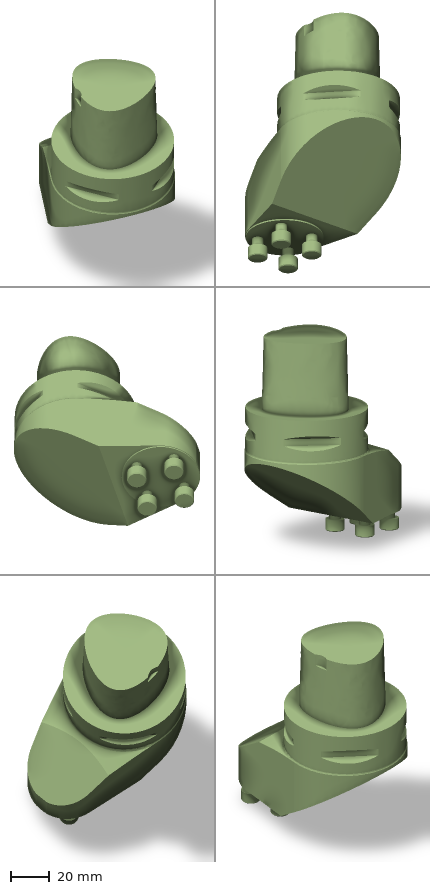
import cadquery as cq
import math

PAD_BOTTOM = 11.1
BODY_BOTTOM = 11.9
SHOULDER_Z = 50.1
BLANK_TOP = 51.1
COLLAR_TOP = 73.1
TOTAL_HEIGHT = 111.0

COLLAR_RADIUS = 63.0 / 2
GROOVE_Z = 61.0
GROOVE_FLOOR_HEIGHT = 3.7
GROOVE_FLOOR_RADIUS = 27.9
GROOVE_FLANK_ANGLE = 30.0
GROOVE_OVERSHOOT = 1.1

BODY_RADIUS = 32.0
SIDE_ANGLE = 15.0
PAD_RADIUS = 40.0 / 2
PAD_X = -45.1
END_FLAT_X = PAD_X - PAD_RADIUS
SHOULDER_ANGLE = 15.0
SHOULDER_FILLET = 1.2
SLOPE_ANGLE = 35.0
UPPER_SLOPE_END_Z = 28.1
LOWER_SLOPE_END_Z = 48.2

SHANK_MEAN_RADIUS = 22.1
SHANK_LOBE = 1.7
SHANK_TAPER = 1 / 20
OUTLINE_POINTS = 36
NOTCH_RADIUS = 6.0
NOTCH_FLOOR_Y = -18.0
NOTCH_DEPTH = 6.4

SCREW_OFFSET = 9.9
SCREW_HEAD_RADIUS = 10.0 / 2
SCREW_HEAD_HEIGHT = 6.0
SCREW_HEAD_CHAMFER = 0.4
SCREW_SHANK_RADIUS = 6.0 / 2

FAR = 133.2


def tan_deg(angle):
    return math.tan(math.radians(angle))


def cylinder(radius, bottom, top, x=0.0, y=0.0):
    return cq.Workplane("XY", origin=(x, y, bottom)).circle(radius).extrude(top - bottom)


def body_blank():
    """Vertical prism with a large and a small round end, the small end flattened."""
    sin_a = math.sin(math.radians(SIDE_ANGLE))
    cos_a = math.cos(math.radians(SIDE_ANGLE))
    end_radius = BODY_RADIUS + PAD_X * sin_a
    big_x, big_y = -BODY_RADIUS * sin_a, BODY_RADIUS * cos_a
    end_x, end_y = PAD_X - end_radius * sin_a, end_radius * cos_a
    flat_y = math.sqrt(end_radius**2 - PAD_RADIUS**2)
    mid_angle = (math.atan2(end_y, end_x - PAD_X) + math.atan2(flat_y, -PAD_RADIUS)) / 2
    mid_x = PAD_X + end_radius * math.cos(mid_angle)
    mid_y = end_radius * math.sin(mid_angle)
    return (
        cq.Workplane("XY", origin=(0, 0, BODY_BOTTOM))
        .moveTo(big_x, -big_y)
        .threePointArc((BODY_RADIUS, 0), (big_x, big_y))
        .lineTo(end_x, end_y)
        .threePointArc((mid_x, mid_y), (END_FLAT_X, flat_y))
        .lineTo(END_FLAT_X, -flat_y)
        .threePointArc((mid_x, -mid_y), (end_x, -end_y))
        .close()
        .extrude(BLANK_TOP - BODY_BOTTOM)
    )


def sloped_profile():
    """Side envelope of the body: parallel slopes above and below."""
    slope = tan_deg(SLOPE_ANGLE)
    upper_x = END_FLAT_X + (BLANK_TOP - UPPER_SLOPE_END_Z) / slope
    lower_x = BODY_RADIUS - (LOWER_SLOPE_END_Z - BODY_BOTTOM) / slope
    return (
        cq.Workplane("XZ")
        .polyline([
            (END_FLAT_X, BODY_BOTTOM),
            (lower_x, BODY_BOTTOM),
            (BODY_RADIUS, LOWER_SLOPE_END_Z),
            (BODY_RADIUS, BLANK_TOP),
            (upper_x, BLANK_TOP),
            (END_FLAT_X, UPPER_SLOPE_END_Z),
        ])
        .close()
        .extrude(FAR, both=True)
    )


def shoulder_envelope():
    """Round envelope whose conical top meets the collar in a concave fillet."""
    angle = math.radians(SHOULDER_ANGLE)
    rim_z = SHOULDER_Z - (FAR - COLLAR_RADIUS) * math.tan(angle)
    half_turn = (math.pi / 2 - angle) / 2
    setback = SHOULDER_FILLET * math.tan(half_turn)
    center_r = COLLAR_RADIUS + SHOULDER_FILLET
    fillet_top = SHOULDER_Z + setback
    fillet_mid = (
        center_r - SHOULDER_FILLET * math.cos(half_turn),
        fillet_top - SHOULDER_FILLET * math.sin(half_turn),
    )
    fillet_end = (COLLAR_RADIUS + setback * math.cos(angle), SHOULDER_Z - setback * math.sin(angle))
    return (
        cq.Workplane("XZ")
        .polyline([(0, -FAR), (FAR, -FAR), (FAR, rim_z), fillet_end])
        .threePointArc(fillet_mid, (COLLAR_RADIUS, fillet_top))
        .lineTo(0, fillet_top)
        .close()
        .revolve(360, (0, 0), (0, 1))
    )


def collar():
    """Cylinder with four flared grooves on the diagonals."""
    ring = cylinder(COLLAR_RADIUS, SHOULDER_Z, COLLAR_TOP)
    half_floor = GROOVE_FLOOR_HEIGHT / 2
    mouth_radius = COLLAR_RADIUS + GROOVE_OVERSHOOT
    half_mouth = half_floor + (mouth_radius - GROOVE_FLOOR_RADIUS) * tan_deg(GROOVE_FLANK_ANGLE)
    groove = (
        cq.Workplane("XZ")
        .polyline([
            (GROOVE_FLOOR_RADIUS, GROOVE_Z - half_floor),
            (mouth_radius, GROOVE_Z - half_mouth),
            (mouth_radius, GROOVE_Z + half_mouth),
            (GROOVE_FLOOR_RADIUS, GROOVE_Z + half_floor),
        ])
        .close()
        .extrude(COLLAR_RADIUS, both=True)
    )
    for angle in (45, 135, 225, 315):
        ring = ring.cut(groove.rotate((0, 0, 0), (0, 0, 1), angle))
    return ring


def shank_outline(mean_radius):
    """Points of a hypotrochoid with one lobe pointing along +Y."""
    points = []
    for i in range(OUTLINE_POINTS):
        t = 2 * math.pi * i / OUTLINE_POINTS
        across = mean_radius * math.sin(t) - SHANK_LOBE * math.sin(2 * t)
        along = mean_radius * math.cos(t) + SHANK_LOBE * math.cos(2 * t)
        points.append((across, along))
    return points


def shank():
    """Tapered polygon shank with a round notch in the top of its -Y side."""
    height = TOTAL_HEIGHT - COLLAR_TOP
    top_radius = SHANK_MEAN_RADIUS - height * SHANK_TAPER / 2
    cone = (
        cq.Workplane("XY", origin=(0, 0, COLLAR_TOP))
        .spline(shank_outline(SHANK_MEAN_RADIUS), periodic=True)
        .close()
        .workplane(offset=height)
        .spline(shank_outline(top_radius), periodic=True)
        .close()
        .loft(ruled=True)
    )
    notch_y = NOTCH_FLOOR_Y - NOTCH_RADIUS
    return cone.cut(cylinder(NOTCH_RADIUS, TOTAL_HEIGHT - NOTCH_DEPTH, TOTAL_HEIGHT, y=notch_y))


def screw(x, y):
    head = cylinder(SCREW_HEAD_RADIUS, 0, SCREW_HEAD_HEIGHT, x, y).faces("<Z").chamfer(SCREW_HEAD_CHAMFER)
    return head.union(cylinder(SCREW_SHANK_RADIUS, SCREW_HEAD_HEIGHT, BODY_BOTTOM, x, y))


body = body_blank().intersect(sloped_profile()).intersect(shoulder_envelope())
pad = cylinder(PAD_RADIUS, PAD_BOTTOM, BODY_BOTTOM, PAD_X)

result = body.union(pad).union(collar()).union(shank())
for side_x in (-1, 1):
    for side_y in (-1, 1):
        result = result.union(screw(PAD_X + side_x * SCREW_OFFSET, side_y * SCREW_OFFSET))